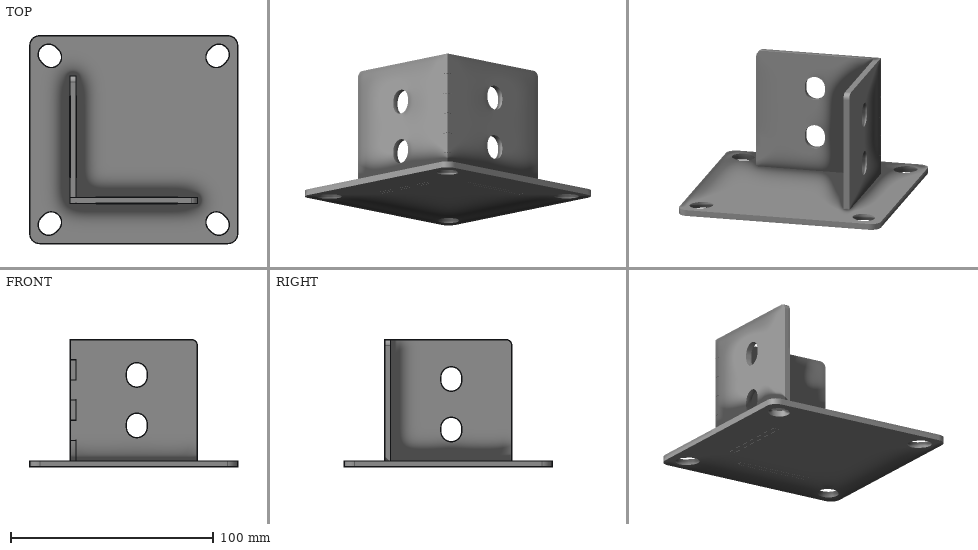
import cadquery as cq
import math

thickness = 3.0
base_size = 103.0
base_corner_radius = 5.0
base_hole_inset = 10.0

wall_length = 63.0
wall_height = 60.0
wall_corner_radius = 3.0
corner = -wall_length / 2
wall_top = thickness + wall_height

finger_count = 6
finger_height = wall_height / finger_count

tab_length = 40.0
fit_clearance = 0.1
tab_center = corner + thickness + (wall_length - thickness) / 2

hole_width = 10.2
hole_length = 12.0
hole_spacing = 25.0
front_hole_middle = thickness + wall_height / 2
side_hole_drop = 2.0
side_hole_middle = front_hole_middle - side_hole_drop


def box_between(low, high):
    """Box spanning two opposite corner points."""
    size = [b - a for a, b in zip(low, high)]
    return cq.Workplane("XY").box(*size, centered=False).translate(low)


def make_base():
    base = cq.Workplane("XY").rect(base_size, base_size).extrude(thickness)
    base = base.edges("|Z").fillet(base_corner_radius)

    hole_offset = base_size / 2 - base_hole_inset
    for x_side in (-1, 1):
        for y_side in (-1, 1):
            diagonal = math.degrees(math.atan2(y_side, x_side))
            hole = cq.Workplane("XY").slot2D(hole_length, hole_width, diagonal).extrude(thickness)
            base = base.cut(hole.translate((x_side * hole_offset, y_side * hole_offset, 0)))

    slot_length = tab_length + 2 * fit_clearance
    slot_width = thickness + 2 * fit_clearance
    wall_middle = corner + thickness / 2
    for center, size in (
        ((tab_center, wall_middle), (slot_length, slot_width)),
        ((wall_middle, tab_center), (slot_width, slot_length)),
    ):
        base = base.cut(cq.Workplane("XY").center(*center).rect(*size).extrude(thickness))
    return base


def make_wall(hole_middle, first_notch):
    """Wall along X with its outer face at Y = corner.

    Every second finger is notched out, with clearance at the top of the notch.
    """
    wall = box_between(
        (corner, corner, thickness),
        (corner + wall_length, corner + thickness, wall_top),
    )
    wall = wall.edges("|Y and >X and >Z").fillet(wall_corner_radius)

    tab = box_between(
        (tab_center - tab_length / 2, corner, 0),
        (tab_center + tab_length / 2, corner + thickness, thickness),
    )
    wall = wall.union(tab)

    for finger in range(first_notch, finger_count, 2):
        notch_bottom = thickness + finger * finger_height
        notch = box_between(
            (corner, corner, notch_bottom),
            (corner + thickness, corner + thickness, notch_bottom + finger_height + fit_clearance),
        )
        wall = wall.cut(notch)

    for side in (-1, 1):
        hole = cq.Workplane("XZ").slot2D(hole_length, hole_width, 90).extrude(-thickness)
        hole_height = hole_middle + side * hole_spacing / 2
        wall = wall.cut(hole.translate((tab_center, corner, hole_height)))
    return wall


base_plate = make_base()
front_wall = make_wall(front_hole_middle, first_notch=0)
side_wall = make_wall(side_hole_middle, first_notch=1).mirror("YZ").rotate((0, 0, 0), (0, 0, 1), -90)

result = cq.Compound.makeCompound([base_plate.val(), front_wall.val(), side_wall.val()])